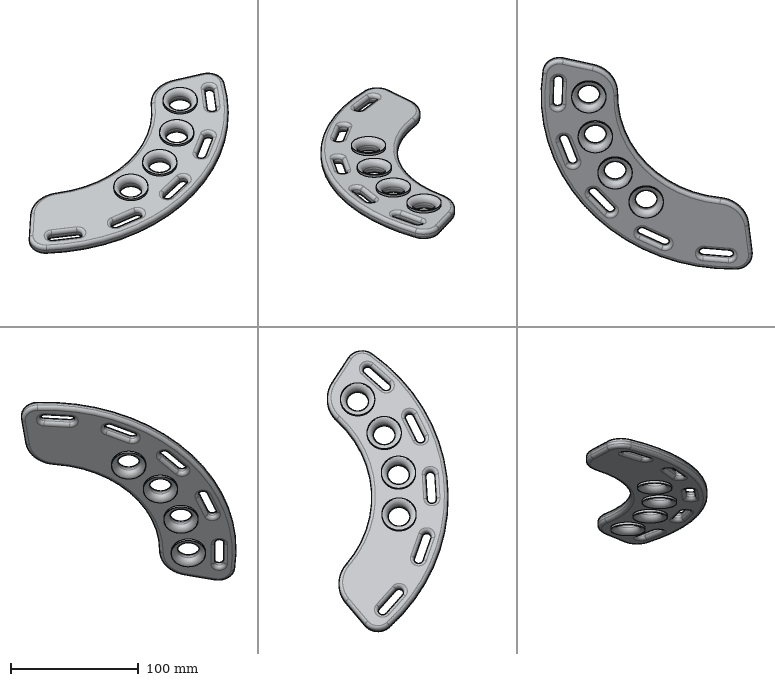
import cadquery as cq
import math

OUTER_RADIUS = 150.0
INNER_RADIUS = 90.0
START_ANGLE = -20.0
END_ANGLE = 90.0
MID_ANGLE = (START_ANGLE + END_ANGLE) / 2
PLATE_THICKNESS = 8.0
OUTER_CORNER_RADIUS = 13.0
INNER_CORNER_RADIUS = 25.0
EDGE_ROUNDING = 3.0

BUSHING_COUNT = 4
BUSHING_CIRCLE_RADIUS = 112.5
BUSHING_FIRST_ANGLE = 23.4
BUSHING_PITCH_ANGLE = 17.9
BUSHING_HEIGHT = 12.0
BUSHING_RADIUS = 27.0 / 2
BORE_RADIUS = 17.0 / 2
FLARE_RADIUS = BUSHING_RADIUS - BORE_RADIUS

SLOT_COUNT = 5
SLOT_CIRCLE_RADIUS = 136.8
SLOT_PITCH_ANGLE = 21.6
SLOT_WIDTH = 6.9
SLOT_CENTRE_SPACING = 20.0


def polar(radius, angle):
    """Point in the XY plane at a radius and an angle in degrees."""
    return (radius * math.cos(math.radians(angle)), radius * math.sin(math.radians(angle)))


def make_plate():
    """Flat ring sector with rounded corners."""
    plate = (
        cq.Workplane("XY", origin=(0, 0, -PLATE_THICKNESS / 2))
        .moveTo(*polar(INNER_RADIUS, START_ANGLE))
        .lineTo(*polar(OUTER_RADIUS, START_ANGLE))
        .threePointArc(polar(OUTER_RADIUS, MID_ANGLE), polar(OUTER_RADIUS, END_ANGLE))
        .lineTo(*polar(INNER_RADIUS, END_ANGLE))
        .threePointArc(polar(INNER_RADIUS, MID_ANGLE), polar(INNER_RADIUS, START_ANGLE))
        .close()
        .extrude(PLATE_THICKNESS)
    )
    corner_rounding = {INNER_RADIUS: INNER_CORNER_RADIUS, OUTER_RADIUS: OUTER_CORNER_RADIUS}
    for corner_distance, rounding in corner_rounding.items():
        for angle in (START_ANGLE, END_ANGLE):
            corner = (*polar(corner_distance, angle), 0)
            plate = plate.edges(cq.selectors.NearestToPointSelector(corner)).fillet(rounding)
    return plate


def cut_slots(plate):
    """Cut the slots through, each at right angles to its own radius."""
    first_angle = MID_ANGLE - SLOT_PITCH_ANGLE * (SLOT_COUNT - 1) / 2
    for index in range(SLOT_COUNT):
        angle = first_angle + index * SLOT_PITCH_ANGLE
        slot = (
            cq.Workplane("XY")
            .center(*polar(SLOT_CIRCLE_RADIUS, angle))
            .slot2D(SLOT_CENTRE_SPACING + SLOT_WIDTH, SLOT_WIDTH, angle + 90)
            .extrude(PLATE_THICKNESS, both=True)
        )
        plate = plate.cut(slot)
    return plate


def make_bushing():
    """Ring whose bore flares out to the rim at both ends."""
    half_height = BUSHING_HEIGHT / 2
    straight_half = half_height - FLARE_RADIUS
    flare_mid_offset = FLARE_RADIUS * math.sqrt(0.5)
    flare_mid_x = BUSHING_RADIUS - flare_mid_offset
    flare_mid_z = straight_half + flare_mid_offset
    return (
        cq.Workplane("XZ")
        .moveTo(BUSHING_RADIUS, -half_height)
        .lineTo(BUSHING_RADIUS, half_height)
        .threePointArc((flare_mid_x, flare_mid_z), (BORE_RADIUS, straight_half))
        .lineTo(BORE_RADIUS, -straight_half)
        .threePointArc((flare_mid_x, -flare_mid_z), (BUSHING_RADIUS, -half_height))
        .close()
        .revolve(360, (0, 0, 0), (0, 1, 0))
    )


def add_bushings(plate):
    """Replace a disc of the plate with a bushing at each position."""
    bushing = make_bushing()
    for index in range(BUSHING_COUNT):
        angle = BUSHING_FIRST_ANGLE + index * BUSHING_PITCH_ANGLE
        position = polar(BUSHING_CIRCLE_RADIUS, angle)
        seat = cq.Workplane("XY").center(*position).circle(BUSHING_RADIUS)
        plate = plate.cut(seat.extrude(PLATE_THICKNESS, both=True))
        plate = plate.union(bushing.translate((*position, 0)))
    return plate


slotted_plate = cut_slots(make_plate())
rounded_plate = slotted_plate.faces("<Z or >Z").edges().fillet(EDGE_ROUNDING)
result = add_bushings(rounded_plate)